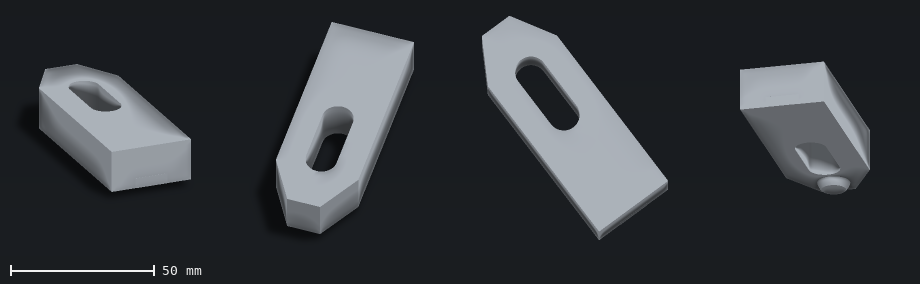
import cadquery as cq

total_length = 80.0
pad_thickness = 0.1
bar_length = total_length - pad_thickness
bar_width = 30.0
bar_height = bar_width / 2
nose_length = 15.5
nose_width = 12.0

slot_start = 15.0
slot_length = 30.0
slot_width = 11.0

pad_width = 12.0
pad_height = 3.7

ball_radius = 6.0
ball_x = 7.4
ball_center_z = 1.5
total_height = 17.7
ball_projection = total_height - bar_height


def make_ball():
    """Ball seated in the bar, cut flat below the bar's underside."""
    ball = cq.Workplane("XY").sphere(ball_radius).translate((ball_x, 0, ball_center_z))
    block_size = 4 * ball_radius
    keep_block = (
        cq.Workplane("XY", origin=(ball_x, 0, -ball_projection))
        .rect(block_size, block_size)
        .extrude(block_size)
    )
    return ball.intersect(keep_block)


def make_bar(ball):
    """Tapered clamp bar with its slot, rear pad and ball socket."""
    bar = (
        cq.Workplane("XY")
        .moveTo(0, -nose_width / 2)
        .lineTo(nose_length, -bar_width / 2)
        .lineTo(bar_length, -bar_width / 2)
        .lineTo(bar_length, bar_width / 2)
        .lineTo(nose_length, bar_width / 2)
        .lineTo(0, nose_width / 2)
        .close()
        .extrude(bar_height)
    )
    slot = (
        cq.Workplane("XY", origin=(slot_start + slot_length / 2, 0, 0))
        .slot2D(slot_length, slot_width)
        .extrude(bar_height)
    )
    pad = (
        cq.Workplane("YZ", origin=(bar_length, 0, pad_height / 2))
        .rect(pad_width, pad_height)
        .extrude(pad_thickness)
    )
    return bar.cut(slot).union(pad).cut(ball)


swivel_ball = make_ball()
clamp_bar = make_bar(swivel_ball)

result = cq.Compound.makeCompound([*clamp_bar.solids().vals(), *swivel_ball.solids().vals()])